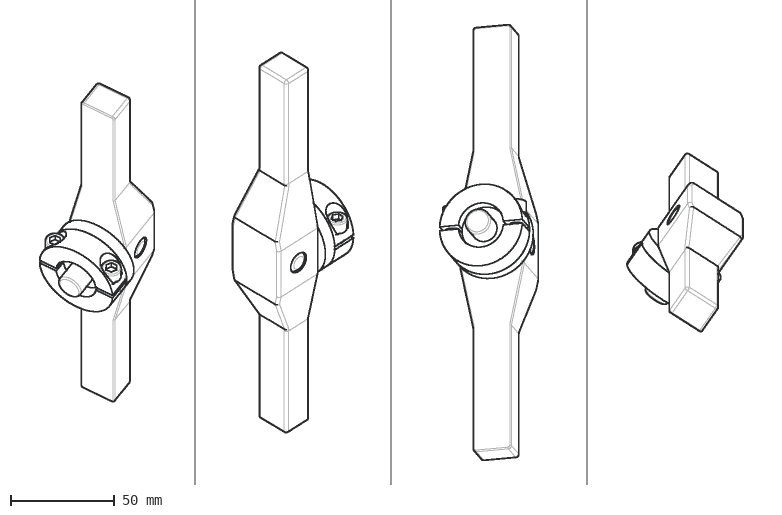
import cadquery as cq
LENGTH = 216.0
BACK_Y = 27.5
ARM_DEPTH = 15.5
MIDDLE_WIDTH = 32.0
ARM_WIDTH = 19.0
ARM_START_Z = 45.1
BACK_ARM_Z = 44.0
SIDE_FLAT_Z = 14.0
BACK_FLAT_Z = 19.2
BACK_ROUND = 1.5
FRONT_ROUND = 0.6

CROSS_RADIUS = 5.5
CROSS_ROUND = 2.0
CROSS_Y = BACK_Y / 2

COLLAR_RADIUS = 20.7
BOSS_DEPTH = 6.5
SPIGOT_RADIUS = 11.2
SPIGOT_DEPTH = 6.5
SHAFT_RADIUS = 6.3
SHAFT_REACH = 25.7
SHAFT_ROUND = 0.9

COLLAR_DEPTH = 13.0
SLIT_WIDTH = 2.0

SCREW_Y = -BOSS_DEPTH - COLLAR_DEPTH / 2
SHANK_RADIUS = 3.2
HEAD_RADIUS = 4.7
SCREW_X = COLLAR_RADIUS - HEAD_RADIUS
HEAD_ROUND = 0.6
HEAD_HEIGHT = 6.3
SEAT_Z = 6.3
COUNTERBORE_RADIUS = 5.5
SOCKET_WIDTH = 5.8
SOCKET_DEPTH = 3.0
SOCKET_SIDES = 6


def front_cylinder(radius, start, depth):
    """A cylinder along -Y whose back end is `start` in front of the handle face."""
    return cq.Workplane("XZ", origin=(0, -start, 0)).circle(radius).extrude(depth)


def screw_cylinder(x, radius, bottom, top):
    """A cylinder along Z on the axis of the clamp screw at `x`."""
    return cq.Workplane("XY", origin=(x, SCREW_Y, bottom)).circle(radius).extrude(top - bottom)


def handle_bar():
    end_z = LENGTH / 2
    half_middle = MIDDLE_WIDTH / 2
    half_arm = ARM_WIDTH / 2
    width_outline = (
        cq.Workplane("XZ")
        .moveTo(0, end_z)
        .lineTo(half_arm, end_z)
        .lineTo(half_arm, ARM_START_Z)
        .lineTo(half_middle, SIDE_FLAT_Z)
        .lineTo(half_middle, -SIDE_FLAT_Z)
        .lineTo(half_arm, -ARM_START_Z)
        .lineTo(half_arm, -end_z)
        .lineTo(0, -end_z)
        .mirrorY()
        .extrude(-BACK_Y)
    )
    depth_outline = (
        cq.Workplane("YZ")
        .polyline([
            (0, end_z),
            (ARM_DEPTH, end_z),
            (ARM_DEPTH, BACK_ARM_Z),
            (BACK_Y, BACK_FLAT_Z),
            (BACK_Y, -BACK_FLAT_Z),
            (ARM_DEPTH, -BACK_ARM_Z),
            (ARM_DEPTH, -end_z),
            (0, -end_z),
        ])
        .close()
        .extrude(half_middle, both=True)
    )
    bar = width_outline.intersect(depth_outline)

    end_edges = bar.faces("<Z or >Z").edges("not <Y")
    lengthwise_back_edges = bar.edges("(not #Z) and (not |Y) and (not <Y)")
    bar = lengthwise_back_edges.add(end_edges).fillet(BACK_ROUND)
    return bar.faces("<Y").edges().fillet(FRONT_ROUND)


def cut_cross_pin_ends(bar):
    """Cut the groove that the rounded rim of the cross pin leaves in each side of the handle."""
    half_middle = MIDDLE_WIDTH / 2
    for side in (-1, 1):
        plane = cq.Plane(
            origin=(side * half_middle, CROSS_Y, 0), xDir=(0, 1, 0), normal=(-side, 0, 0)
        )
        hole = cq.Workplane(plane).circle(CROSS_RADIUS).extrude(CROSS_ROUND)
        pin_end = cq.Workplane(plane).circle(CROSS_RADIUS).extrude(2 * CROSS_ROUND)
        pin_end = pin_end.faces("<X" if side < 0 else ">X").edges().fillet(CROSS_ROUND)
        bar = bar.cut(hole.cut(pin_end))
    return bar


def make_handle():
    boss = front_cylinder(COLLAR_RADIUS, 0, BOSS_DEPTH)
    spigot = front_cylinder(SPIGOT_RADIUS, 0, BOSS_DEPTH + SPIGOT_DEPTH)
    shaft = front_cylinder(SHAFT_RADIUS, 0, SHAFT_REACH).faces("<Y").edges().fillet(SHAFT_ROUND)
    return cut_cross_pin_ends(handle_bar()).union(boss).union(spigot).union(shaft)


def clamp_screw(x):
    head_top = SEAT_Z + HEAD_HEIGHT
    head = screw_cylinder(x, HEAD_RADIUS, SEAT_Z, head_top).faces(">Z").edges().fillet(HEAD_ROUND)
    socket = (
        cq.Workplane("XY", origin=(x, SCREW_Y, head_top))
        .polygon(SOCKET_SIDES, SOCKET_WIDTH)
        .extrude(-SOCKET_DEPTH)
    )
    shank = screw_cylinder(x, SHANK_RADIUS, -SEAT_Z, SEAT_Z)
    return head.cut(socket).union(shank)


def make_collar():
    """The split collar, with its two halves held as one solid by the clamp screws."""
    slit = cq.Workplane("XY", origin=(0, SCREW_Y, 0)).box(
        2 * COLLAR_RADIUS, COLLAR_DEPTH, SLIT_WIDTH
    )
    collar = front_cylinder(COLLAR_RADIUS, BOSS_DEPTH, COLLAR_DEPTH)
    collar = collar.cut(front_cylinder(SPIGOT_RADIUS, BOSS_DEPTH, COLLAR_DEPTH)).cut(slit)
    for x in (-SCREW_X, SCREW_X):
        collar = collar.cut(screw_cylinder(x, COUNTERBORE_RADIUS, SEAT_Z, COLLAR_RADIUS))
        collar = collar.union(clamp_screw(x))
    return collar


handle = make_handle()
collar = make_collar()

result = cq.Compound.makeCompound([handle.solids().val(), collar.solids().val()])